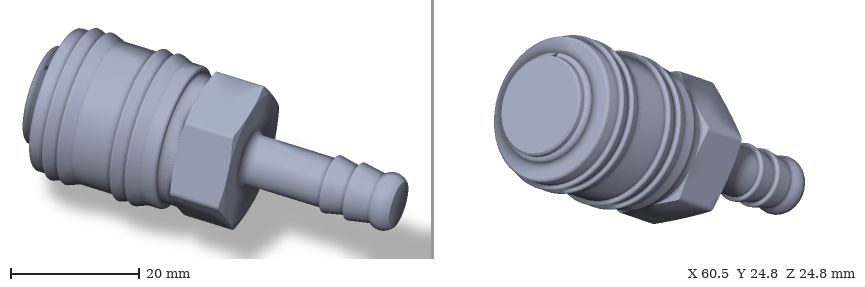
import cadquery as cq
import math

total_length = 60.5

nose_diameter = 15.95
nose_chamfer = 0.3
sleeve_start = 2.65
wire_diameter = 1.5
ring_mean_diameter = 16.1
groove_floor_diameter = 15.14
ring_gap_from = 10.8
ring_gap_to = 17.6

sleeve_diameter = 23.3
sleeve_end = 24.1
sleeve_edge_fillet = 0.5
ridge_starts = (5.2, 7.65, 16.65, 19.2)
ridge_diameter = 24.8
ridge_nose_radius = 0.37
ridge_length = 2.4

collar_diameter = 21.1
hex_start = 26.5
hex_end = 35.45
hex_across_flats = 21.0
hex_corner_fillet = 0.95
hex_chamfer_diameter = 21.0
hex_chamfer_angle = 15.0

tail_diameter = 8.1
tail_root_fillet = 1.0
barb_diameter = 9.4
barb_starts = (48.9, 52.9)
barb_nose_radius = 0.35
barb_ends = (52.5, 57.0)
bead_end_diameter = 7.7


def turned(outline):
    """Revolve an outline drawn as (distance along X, radius) about the X axis."""
    return outline.close().revolve(360, (0, 0, 0), (1, 0, 0))


def cylinder(start, end, diameter):
    return cq.Workplane("YZ", origin=(start, 0, 0)).circle(diameter / 2).extrude(end - start)


def make_sleeve():
    sleeve = cylinder(sleeve_start, sleeve_end, sleeve_diameter)
    sleeve = sleeve.faces("<X or >X").edges().fillet(sleeve_edge_fillet)
    for start in ridge_starts:
        sleeve = sleeve.union(make_ridge(start))
    return sleeve


def add_barb(outline, start, length, peak_r, foot_r, nose_radius):
    """Add a square front wall, a rounded nose and the cone that leaves it and falls to the foot."""
    nose_x = start + nose_radius
    nose_r = peak_r - nose_radius
    run = start + length - nose_x
    drop = nose_r - foot_r
    slope = math.atan2(drop, run) + math.asin(nose_radius / math.hypot(run, drop))
    cone_x = nose_x + nose_radius * math.sin(slope)
    cone_r = nose_r + nose_radius * math.cos(slope)
    return (
        outline.lineTo(start, nose_r)
        .threePointArc(arc_middle(nose_x, nose_r, nose_radius, slope), (cone_x, cone_r))
        .lineTo(start + length, foot_r)
    )


def arc_middle(nose_x, nose_r, nose_radius, slope):
    """Point halfway along the nose arc, between the front wall and the cone."""
    angle = (math.pi + math.pi / 2 - slope) / 2
    return (nose_x + nose_radius * math.cos(angle), nose_r + nose_radius * math.sin(angle))


def make_ridge(start):
    outline = cq.Workplane("XY").moveTo(start, 0)
    outline = add_barb(
        outline, start, ridge_length, ridge_diameter / 2, sleeve_diameter / 2, ridge_nose_radius
    )
    return turned(outline.lineTo(start + ridge_length, 0))


def make_hexagon():
    length = hex_end - hex_start
    corner_diameter = hex_across_flats / math.cos(math.pi / 6)
    blank = (
        cq.Workplane("YZ", origin=(hex_start, 0, 0))
        .polygon(6, corner_diameter)
        .extrude(length)
        .edges("|X")
        .fillet(hex_corner_fillet)
    )
    face_r = hex_chamfer_diameter / 2
    rim_r = corner_diameter / 2
    chamfer_length = (rim_r - face_r) * math.tan(math.radians(hex_chamfer_angle))
    envelope = (
        cq.Workplane("XY")
        .moveTo(hex_start, 0)
        .lineTo(hex_start, face_r)
        .lineTo(hex_start + chamfer_length, rim_r)
        .lineTo(hex_end - chamfer_length, rim_r)
        .lineTo(hex_end, face_r)
        .lineTo(hex_end, 0)
    )
    return blank.intersect(turned(envelope))


def make_tail():
    tail_r = tail_diameter / 2
    barb_r = barb_diameter / 2
    bead_middle = (barb_ends[-1] + total_length) / 2
    outline = (
        cq.Workplane("XY")
        .moveTo(hex_end, 0)
        .lineTo(hex_end, tail_r + tail_root_fillet)
        .radiusArc((hex_end + tail_root_fillet, tail_r), -tail_root_fillet)
    )
    for start, end in zip(barb_starts, barb_ends):
        outline = outline.lineTo(start, tail_r)
        outline = add_barb(outline, start, end - start, barb_r, tail_r, barb_nose_radius)
    outline = outline.threePointArc(
        (bead_middle, barb_r), (total_length, bead_end_diameter / 2)
    ).lineTo(total_length, 0)
    return turned(outline)


def make_coupling():
    nose = cylinder(0, sleeve_start, nose_diameter).faces("<X").edges().chamfer(nose_chamfer)
    groove = cylinder(sleeve_start - wire_diameter, sleeve_start, nose_diameter).cut(
        cylinder(sleeve_start - wire_diameter, sleeve_start, groove_floor_diameter)
    )
    collar = cylinder(sleeve_end, hex_start, collar_diameter)
    return (
        make_sleeve().union(nose.cut(groove)).union(collar).union(make_hexagon()).union(make_tail())
    )


def make_snap_ring():
    """Open ring of round wire, flattened on the inside where it sits on the groove floor."""
    wire_r = wire_diameter / 2
    centre_r = ring_mean_diameter / 2
    opening = ring_gap_to - ring_gap_from
    ring = (
        cq.Workplane("XZ")
        .center(sleeve_start - wire_r, centre_r)
        .circle(wire_r)
        .revolve(360 - opening, (0, -centre_r, 0), (1, -centre_r, 0))
        .rotate((0, 0, 0), (1, 0, 0), ring_gap_to)
    )
    return ring.cut(cylinder(sleeve_start - wire_diameter, sleeve_start, groove_floor_diameter))


coupling = make_coupling()
snap_ring = make_snap_ring()
result = cq.Compound.makeCompound([coupling.val(), snap_ring.val()])